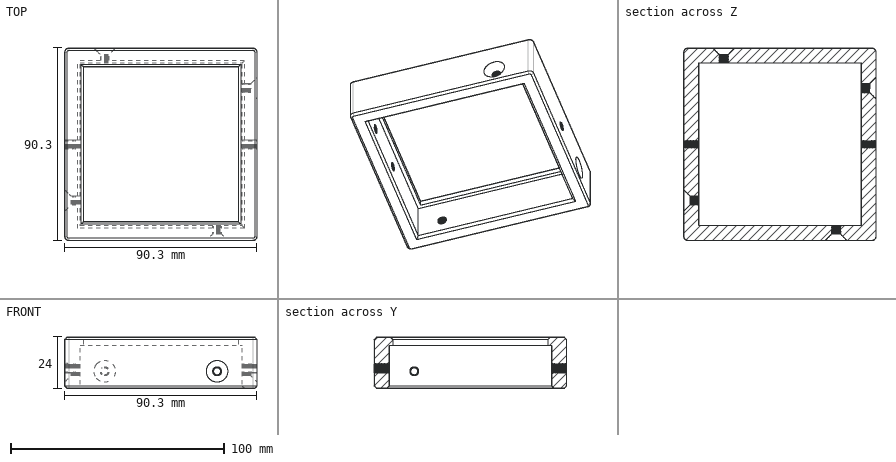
import cadquery as cq

side = 90.25
height = 24.0
corner_radius = 2.0
edge_chamfer = 1.1

lip_opening = 72.6
lip_height = 4.0
opening = 76.1
mouth_chamfer = 1.2

bore_diameter = 3.3
root_diameter = 4.15
thread_pitch = 0.7
groove_mouth = 0.59
groove_floor = 0.2
bore_overlap = 0.045

countersink_diameter = 10.1
screw_offset = 26.35
screw_height = 8.0

cross_height = 9.4

wall = (side - opening) / 2
countersink_depth = (countersink_diameter - bore_diameter) / 2


def frame_blank():
    """Solid block with rounded corners and chamfered top and bottom rims."""
    block = cq.Workplane("XY").box(side, side, height, centered=(True, True, False))
    block = block.edges("|Z").fillet(corner_radius)
    return block.faces("<Z or >Z").edges().chamfer(edge_chamfer)


def square_prism(width, bottom, top):
    """Square prism centred on Z between two heights."""
    return cq.Workplane("XY", origin=(0, 0, bottom)).rect(width, width).extrude(top - bottom)


def square_flare(width, bottom, growth):
    """Square frustum, mouth_chamfer tall, whose sides move out by growth from bottom to top."""
    end_width = width + 2 * growth
    return (
        cq.Workplane("XY", origin=(0, 0, bottom))
        .rect(width, width)
        .workplane(offset=mouth_chamfer)
        .rect(end_width, end_width)
        .loft(ruled=True)
    )


def opening_cutter():
    """Stepped square opening, chamfered at its top and bottom mouths."""
    lower = square_prism(opening, 0, height - lip_height)
    upper = square_prism(lip_opening, 0, height)
    top_mouth = square_flare(lip_opening, height - mouth_chamfer, mouth_chamfer)
    bottom_mouth = square_flare(opening + 2 * mouth_chamfer, 0, -mouth_chamfer)
    return lower.union(upper).union(top_mouth).union(bottom_mouth)


def threaded_bore():
    """Threaded cylinder along +Z, one pitch longer than the wall at both ends."""
    length = wall + 2 * thread_pitch
    crest = bore_diameter / 2 - bore_overlap
    root = root_diameter / 2
    helix = cq.Wire.makeHelix(thread_pitch, length, crest)
    groove = (
        cq.Workplane("XZ")
        .moveTo(crest, -groove_mouth / 2)
        .lineTo(root, -groove_floor / 2)
        .lineTo(root, groove_floor / 2)
        .lineTo(crest, groove_mouth / 2)
        .close()
        .sweep(cq.Workplane(helix), isFrenet=True)
    )
    core = cq.Workplane("XY").circle(bore_diameter / 2).extrude(length)
    return core.union(groove).translate((0, 0, -thread_pitch))


def countersink():
    """Right-angled cone from the outer face down to the bore."""
    return cq.Workplane("XY").add(
        cq.Solid.makeCone(countersink_diameter / 2, bore_diameter / 2, countersink_depth)
    )


def into_front_wall(cutter, offset, level):
    """Turn a cutter built along +Z to point along +Y from the outer face of the -Y wall."""
    return cutter.rotate((0, 0, 0), (1, 0, 0), -90).translate((offset, -side / 2, level))


def around_frame(cutter, quarter_turns):
    """Turn a cutter about the Z axis of the frame."""
    return cutter.rotate((0, 0, 0), (0, 0, 1), 90 * quarter_turns)


result = frame_blank().cut(opening_cutter())

bore = threaded_bore()
screw_bore = into_front_wall(bore, screw_offset, screw_height)
screw_countersink = into_front_wall(countersink(), screw_offset, screw_height)
for turns in range(4):
    result = result.cut(around_frame(screw_bore, turns))
    result = result.cut(around_frame(screw_countersink, turns))

cross_bore = into_front_wall(bore, 0, cross_height)
for turns in (1, 3):
    result = result.cut(around_frame(cross_bore, turns))